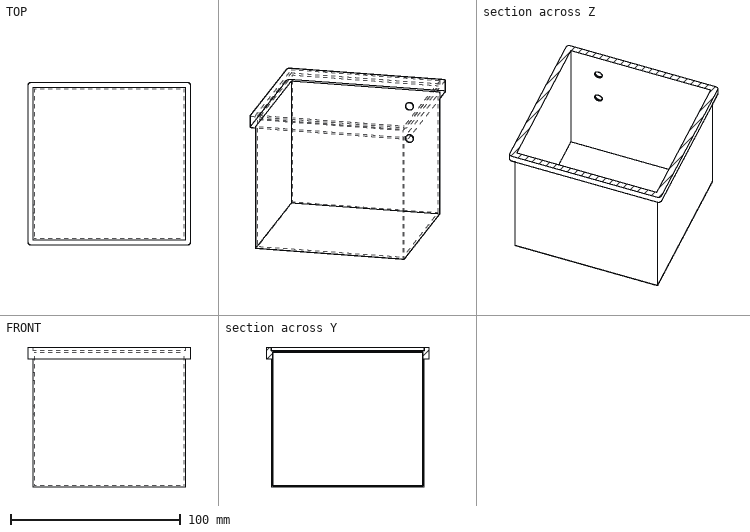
import cadquery as cq

rim_width = 96.0
total_height = 82.5
body_width = 90.0

rim_height = 7.0
rim_corner_radius = 2.0
recess_depth = 2.0

wall_thickness = 1.0

hole_diameter = 4.7
hole_y = -26.7
upper_hole_drop = 17.1
hole_spacing = 20.0
hole_count = 2

rim_bottom = total_height - rim_height
body_height = total_height - recess_depth


def make_body():
    """Square hollow box running from the base up to the recess floor."""
    outside = cq.Workplane("XY").box(body_width, body_width, body_height, centered=(True, True, False))
    chamber_width = body_width - 2 * wall_thickness
    chamber_height = body_height - 2 * wall_thickness
    chamber = (
        cq.Workplane("XY", origin=(0, 0, wall_thickness))
        .rect(chamber_width, chamber_width)
        .extrude(chamber_height)
    )
    return outside.cut(chamber)


def make_rim():
    """Wider square frame with rounded corners, open over the body."""
    rim = cq.Workplane("XY").workplane(offset=rim_bottom).rect(rim_width, rim_width).extrude(rim_height)
    rim = rim.edges("|Z").fillet(rim_corner_radius)
    opening = cq.Workplane("XY").workplane(offset=rim_bottom).rect(body_width, body_width).extrude(rim_height)
    return rim.cut(opening)


def make_hole(z):
    """Plug that cuts a hole through the -X wall into the chamber at height z."""
    return (
        cq.Workplane("YZ", origin=(-body_width / 2, hole_y, z))
        .circle(hole_diameter / 2)
        .extrude(wall_thickness)
    )


result = make_body().union(make_rim())
for row in range(hole_count):
    result = result.cut(make_hole(total_height - upper_hole_drop - row * hole_spacing))